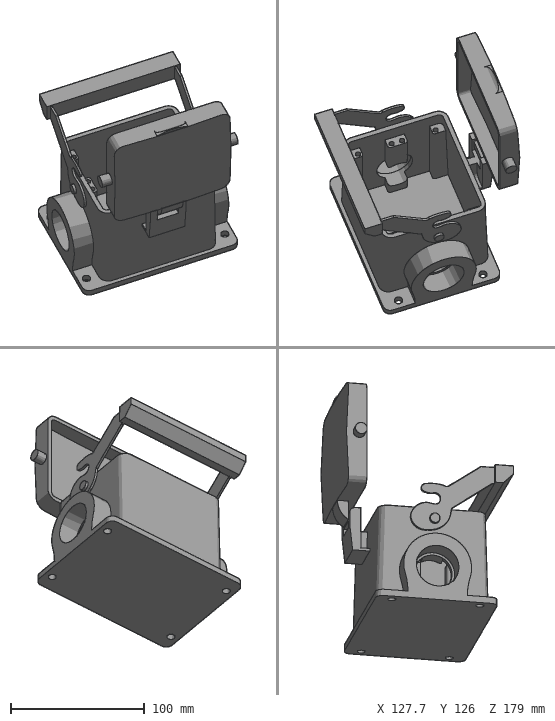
import cadquery as cq
import math

total_height = 179.0

flange_length_x = 92.8
flange_length_y = 126.0
flange_thickness = 5.0
flange_corner_radius = 5.7
flange_hole_diameter = 5.9
flange_hole_x = 33.7
flange_hole_y = 56.4

shell_half_y = 47.3
shell_half_x_top = 82.5 / 2
shell_half_x_bottom = 86.7 / 2
shell_top = 78.8
rim_height = 5.7
rim_bottom = shell_top - rim_height
corner_radius = 7.9
wall = 3.5
cavity_corner_radius = 3.2

post_top = 67.0
post_depth_y = 7.9
post_embedding = 0.9
post_corner_radius = 2.0
corner_post_width = 9.8
middle_post_width = 15.5
screw_hole_diameter = 3.8
screw_hole_depth = 17.9
screw_hole_y = 38.9
corner_screw_x = 31.0
middle_screw_x = 4.1

entry_radius = 26.0
entry_axis_z = 27.0
entry_neck_z = 19.5
entry_flare_radius = 49.8
entry_bore_diameter = 32.4
wall_bore_diameter = 28.5

pivot_z = 69.0
pivot_shank_radius = 2.7
pivot_head_radius = 3.8
pivot_end_y = 53.7

lever_plate_outer_y = 51.5
lever_plate_thickness = 1.8
lever_plate_inner_y = lever_plate_outer_y - lever_plate_thickness
handle_length = 108.9
handle_front_x = -59.8
handle_back_x = -45.8
handle_bottom = 100.6
handle_top = 114.8
handle_chamfer = 7.7
arm_top = 113.5
arm_top_bend_x = -35.5
arm_underside_x = -44.2
finger_root_start = (-11.0, 96.2)
finger_root_low = (-9.1, 95.5)
finger_root_end = (-7.3, 96.2)
finger_top_middle = (0, 97.2)
finger_top_end = (7.5, 96.5)
finger_tip = (10.0, 93.5)
finger_bottom_end = (6.8, 90.0)
finger_bottom_middle = (3.0, 89.4)
latch_mouth_top = (0, 89.9)
latch_back = (-4.7, 85.5)
latch_mouth_bottom = (0, 80.8)
latch_ramp = (2.3, 81.1)
lobe_top = (5.0, 81.7)
lobe_upper_bulge = (14.3, 78.0)
lobe_end = (18.3, 69.5)
lobe_lower_bulge = (14.1, 62.1)
lobe_bottom = (5.0, 60.0)
lobe_lower_front = (-6.5, 63.7)
lobe_front = (-12.2, 72.3)
lobe_neck = (-13.3, 78.5)

bracket_front_x = 48.7
bracket_back_x = 57.1
bracket_foot_back_x = 55.0
bracket_bottom = 53.5
bracket_taper_top = 73.5
bracket_top = 87.7
bracket_round_height = 3.2
bracket_round_start_x = 52.6
bracket_half_y = 14.5
hinge_half_y = 17.4 / 2
bracket_base_thickness = 2.1
rib_thickness = 6.0
rib_fillet_radius = 4.3

hinge_bar_front_x = 50.3
hinge_bar_bottom = 78.2
hinge_bar_top = 85.0
hook_tip_z = 79.9
hook_back_x = 65.5
hook_curve_middle = (63.0, 86.0)

lid_front_x = 50.7
lid_back_x = 67.9
lid_bottom = 94.5
lid_top = 177.0
lid_half_y = shell_half_y
lid_floor_thickness = 4.5
lid_arch_radius = 780.7
lid_slope = 2.6
lid_mid_z = (lid_bottom + lid_top) / 2
lid_pin_x = 56.8
lid_pin_radius = 4.5
lid_pin_end_y = 55.3
lip_front_x = 60.2
lip_crest_x = 64.6
lip_back_x = 65.5
lip_half_y = 12.5


def box(x_min, x_max, y_min, y_max, z_min, z_max):
    """Axis-aligned box between two opposite corners."""
    size = (x_max - x_min, y_max - y_min, z_max - z_min)
    return cq.Workplane("XY").box(*size, centered=False).translate((x_min, y_min, z_min))


def y_cylinder(x, z, radius, y_min, y_max):
    """Cylinder along Y."""
    plane = cq.Workplane("XZ", origin=(x, y_min, z))
    return plane.circle(radius).extrude(-(y_max - y_min))


def centred_in_y(profile, half_y):
    """Closed XZ profile extruded symmetrically about the XZ plane."""
    return profile.extrude(2 * half_y).translate((0, half_y, 0))


def flange():
    hole_places = [(sx * flange_hole_x, sy * flange_hole_y) for sx in (-1, 1) for sy in (-1, 1)]
    plate = cq.Workplane("XY").rect(flange_length_x, flange_length_y).extrude(flange_thickness)
    plate = plate.edges("|Z").fillet(flange_corner_radius)
    return plate.faces(">Z").workplane().pushPoints(hole_places).hole(flange_hole_diameter)


def drafted_block(inset, radius):
    """Shell block, drafted in X up to the rim, moved inwards by the inset."""
    length_y = 2 * (shell_half_y - inset)
    length_x_bottom = 2 * (shell_half_x_bottom - inset)
    length_x_top = 2 * (shell_half_x_top - inset)
    foot = cq.Sketch().rect(length_x_bottom, length_y).vertices().fillet(radius)
    mouth = cq.Sketch().rect(length_x_top, length_y).vertices().fillet(radius)
    drafted = cq.Workplane("XY").placeSketch(
        foot.moved(cq.Location(cq.Vector(0, 0, flange_thickness))),
        mouth.moved(cq.Location(cq.Vector(0, 0, rim_bottom))),
    ).loft(ruled=True)
    rim = cq.Workplane("XY", origin=(0, 0, rim_bottom)).placeSketch(mouth).extrude(rim_height)
    return drafted.union(rim)


def cable_entry_boss():
    """Round boss running the full flange length, its sides flaring down to the flange."""
    neck_angle = math.asin((entry_axis_z - entry_neck_z) / entry_radius)
    neck_x = entry_radius * math.cos(neck_angle)
    foot_x = neck_x - entry_flare_radius * (1 - math.cos(neck_angle))
    half_angle = neck_angle / 2
    flare_x = foot_x + entry_flare_radius * (1 - math.cos(half_angle))
    foot_z = entry_neck_z - entry_flare_radius * math.sin(neck_angle)
    flare_z = foot_z + entry_flare_radius * math.sin(half_angle)
    profile = (
        cq.Workplane("XZ")
        .moveTo(-foot_x, 0)
        .lineTo(-foot_x, foot_z)
        .threePointArc((-flare_x, flare_z), (-neck_x, entry_neck_z))
        .threePointArc((0, entry_axis_z + entry_radius), (neck_x, entry_neck_z))
        .threePointArc((flare_x, flare_z), (foot_x, foot_z))
        .lineTo(foot_x, 0)
        .close()
    )
    return centred_in_y(profile, flange_length_y / 2)


def cable_entry_bores():
    """Narrow bore through both walls, wider through the bosses."""
    half_length = flange_length_y / 2
    bores = y_cylinder(0, entry_axis_z, wall_bore_diameter / 2, -half_length, half_length)
    radius = entry_bore_diameter / 2
    bores = bores.union(y_cylinder(0, entry_axis_z, radius, -half_length, -shell_half_y))
    return bores.union(y_cylinder(0, entry_axis_z, radius, shell_half_y, half_length))


def screw_post(x_min, x_max, side, rounded_edges):
    """Post against one Y wall, its free upright edges rounded."""
    wall_y = side * (shell_half_y - wall + post_embedding)
    free_y = side * (shell_half_y - wall - post_depth_y)
    post = box(x_min, x_max, min(wall_y, free_y), max(wall_y, free_y), flange_thickness, post_top)
    return post.edges(rounded_edges).fillet(post_corner_radius)


def screw_posts():
    """Corner and middle posts, trimmed just inside the drafted walls."""
    posts = cq.Workplane("XY")
    outer_x = shell_half_x_bottom
    inner_x = shell_half_x_top - wall - corner_post_width
    for side, free_face in ((-1, ">Y"), (1, "<Y")):
        free_edges = "|Z and " + free_face
        posts = posts.union(screw_post(-middle_post_width / 2, middle_post_width / 2, side, free_edges))
        posts = posts.union(screw_post(inner_x, outer_x, side, free_edges + " and <X"))
        posts = posts.union(screw_post(-outer_x, -inner_x, side, free_edges + " and >X"))
    posts = posts.intersect(drafted_block(wall - post_embedding, cavity_corner_radius))
    hole_places = [
        (x, sy * screw_hole_y)
        for x in (-corner_screw_x, -middle_screw_x, middle_screw_x, corner_screw_x)
        for sy in (-1, 1)
    ]
    holes = cq.Workplane("XY", origin=(0, 0, post_top)).pushPoints(hole_places)
    return posts.cut(holes.circle(screw_hole_diameter / 2).extrude(-screw_hole_depth))


def lever_pivot(side):
    """Headed pivot whose shank passes through the lever plate."""
    root_y = side * (shell_half_y - wall / 2)
    head_y = side * lever_plate_outer_y
    end_y = side * pivot_end_y
    shank = y_cylinder(0, pivot_z, pivot_shank_radius, min(root_y, end_y), max(root_y, end_y))
    head = y_cylinder(0, pivot_z, pivot_head_radius, min(head_y, end_y), max(head_y, end_y))
    return shank.union(head)


def hinge_bracket():
    """Two hinge arms on a tapered foot, tied to the shell by a base plate and a rib."""
    profile = (
        cq.Workplane("XZ")
        .moveTo(bracket_foot_back_x, bracket_bottom)
        .lineTo(bracket_front_x, bracket_bottom)
        .lineTo(bracket_front_x, bracket_top)
        .lineTo(bracket_round_start_x, bracket_top)
        .tangentArcPoint((bracket_back_x, bracket_top - bracket_round_height), relative=False)
        .lineTo(bracket_back_x, bracket_taper_top)
        .close()
    )
    arms = centred_in_y(profile, bracket_half_y)
    gap = box(bracket_front_x, bracket_back_x, -hinge_half_y, hinge_half_y, rim_bottom, bracket_top)
    root_x = shell_half_x_top - wall / 2
    base_top = bracket_bottom + bracket_base_thickness
    base = box(root_x, bracket_front_x, -bracket_half_y, bracket_half_y, bracket_bottom, base_top)
    half_rib = rib_thickness / 2
    rib = box(root_x, bracket_front_x, -half_rib, half_rib, bracket_bottom, rim_bottom)
    tie = base.union(rib)
    inner_corners = cq.selectors.BoxSelector(
        (root_x, -rib_thickness, base_top - half_rib / 2),
        (bracket_front_x, rib_thickness, base_top + half_rib / 2),
    )
    tie = tie.edges("|X").edges(inner_corners).fillet(rib_fillet_radius)
    return arms.cut(gap).union(tie)


def crowned_back(offset):
    """Space in front of the lid back: two sloping halves meeting in a ridge, both arched in Y."""
    ridge_x = lid_back_x - offset
    arch = cq.Workplane("XY", origin=(ridge_x - lid_arch_radius, 0, lid_bottom - lid_half_y))
    arch = arch.circle(lid_arch_radius).extrude(2 * (lid_top - lid_bottom))
    ridge_start = (ridge_x, 0, lid_mid_z)
    ridge_end = (ridge_x, 1, lid_mid_z)
    upper = arch.rotate(ridge_start, ridge_end, -lid_slope)
    lower = arch.rotate(ridge_start, ridge_end, lid_slope)
    return upper.intersect(lower)


def lid_block(inset, radius):
    """Rounded block along X, moved inwards by the inset."""
    block = box(
        lid_front_x, lid_back_x,
        inset - lid_half_y, lid_half_y - inset,
        lid_bottom + inset, lid_top - inset,
    )
    return block.edges("|X").fillet(radius)


def lid_lip():
    """Thumb lip: an arched crest with a hollow front."""
    crest = (
        cq.Workplane("YZ", origin=(lip_front_x, 0, 0))
        .moveTo(-lip_half_y, lid_top - wall)
        .lineTo(-lip_half_y, lid_top)
        .threePointArc((0, total_height), (lip_half_y, lid_top))
        .lineTo(lip_half_y, lid_top - wall)
        .close()
        .extrude(lip_back_x - lip_front_x)
    )
    rise = total_height - lid_top
    run = lip_crest_x - lip_front_x
    hollow_radius = (run ** 2 + rise ** 2) / (2 * rise)
    hollow = y_cylinder(lip_front_x, lid_top + hollow_radius, hollow_radius, -lip_half_y, lip_half_y)
    return crest.cut(hollow)


def lid_hook():
    """Hinge bar between the bracket arms and the hook that carries the lid."""
    bar = box(
        hinge_bar_front_x, bracket_back_x, -hinge_half_y, hinge_half_y, hinge_bar_bottom, hinge_bar_top
    )
    profile = (
        cq.Workplane("XZ")
        .moveTo(bracket_back_x, hook_tip_z)
        .threePointArc(hook_curve_middle, (hook_back_x, lid_bottom))
        .lineTo(hook_back_x - wall, lid_bottom + wall / 2)
        .lineTo(bracket_back_x, lid_bottom + wall / 2)
        .close()
    )
    return bar.union(centred_in_y(profile, hinge_half_y))


def lid():
    outside = lid_block(0, corner_radius).intersect(crowned_back(0))
    cavity = lid_block(wall, cavity_corner_radius).intersect(crowned_back(lid_floor_thickness))
    cover = outside.cut(cavity).union(lid_lip()).union(lid_hook())
    root_y = lid_half_y - wall / 2
    cover = cover.union(y_cylinder(lid_pin_x, lid_mid_z, lid_pin_radius, root_y, lid_pin_end_y))
    return cover.union(y_cylinder(lid_pin_x, lid_mid_z, lid_pin_radius, -lid_pin_end_y, -root_y))


def build_housing():
    """Flange, shell, cable entries, bracket and lever pivots, carrying the open lid."""
    body = flange().union(drafted_block(0, corner_radius)).union(cable_entry_boss())
    body = body.union(hinge_bracket())
    body = body.cut(drafted_block(wall, cavity_corner_radius))
    body = body.union(screw_posts()).cut(cable_entry_bores())
    for side in (-1, 1):
        body = body.union(lever_pivot(side))
    return body.union(lid())


def lever_plates():
    """Two side plates, each with a latch finger above a round pivot lobe."""
    profile = (
        cq.Workplane("XZ")
        .moveTo(handle_back_x, handle_bottom)
        .lineTo(handle_back_x, arm_top)
        .lineTo(arm_top_bend_x, arm_top)
        .lineTo(*finger_root_start)
        .threePointArc(finger_root_low, finger_root_end)
        .threePointArc(finger_top_middle, finger_top_end)
        .threePointArc(finger_tip, finger_bottom_end)
        .threePointArc(finger_bottom_middle, latch_mouth_top)
        .threePointArc(latch_back, latch_mouth_bottom)
        .threePointArc(latch_ramp, lobe_top)
        .threePointArc(lobe_upper_bulge, lobe_end)
        .threePointArc(lobe_lower_bulge, lobe_bottom)
        .threePointArc(lobe_lower_front, lobe_front)
        .lineTo(*lobe_neck)
        .lineTo(arm_underside_x, handle_bottom)
        .close()
    )
    plates = centred_in_y(profile, lever_plate_outer_y)
    between = box(
        handle_front_x, shell_half_x_top, -lever_plate_inner_y, lever_plate_inner_y, 0, total_height
    )
    return plates.cut(between)


def lever_handle():
    half_length = handle_length / 2
    bar = box(handle_front_x, handle_back_x, -half_length, half_length, handle_bottom, handle_top)
    return bar.edges("|Y and <X and <Z").chamfer(handle_chamfer)


def build_lever():
    pin_holes = y_cylinder(0, pivot_z, pivot_shank_radius, -lever_plate_outer_y, lever_plate_outer_y)
    return lever_plates().cut(pin_holes).union(lever_handle())


housing = build_housing()
lever = build_lever()
result = cq.Compound.makeCompound([housing.val(), lever.val()])